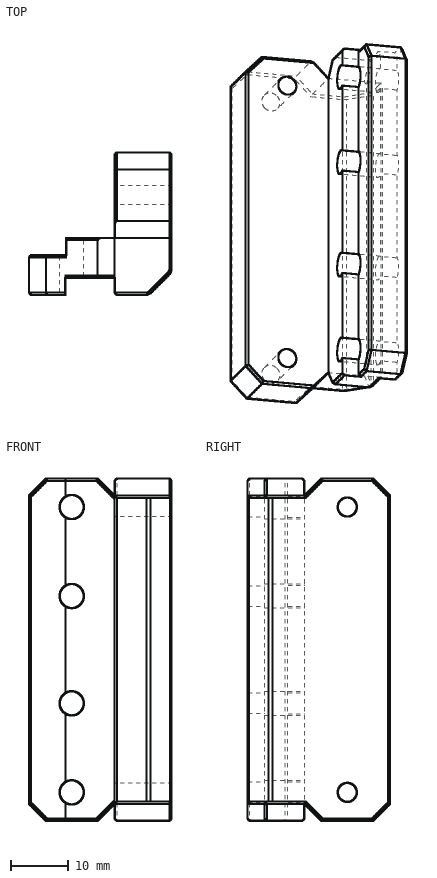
import cadquery as cq

HEIGHT = 60.0
WIDTH = 25.0
DEPTH = 25.0
CORNER_CUT = 3.0
EDGE_BREAK = 0.4

ARM_LENGTH = 15.0
LOWER_WALL_X = 6.4
UPPER_WALL_X = 6.5
FOOT_TOP_Y = 7.0
WEB_BOTTOM_Y = 3.0
ARM_TOP_Y = 10.0
ARM_HOLE_DIAMETER = 4.2
ARM_HOLE_SPANS = (50.0, 18.8)

BLOCK_CORNER_CUT = 4.0
PLATE_HOLE_DIAMETER = 3.3
PLATE_HOLE_SPAN = 50.0

HALF_HEIGHT = HEIGHT / 2
SHOULDER_Z = HALF_HEIGHT - CORNER_CUT
ARM_MIDDLE_Y = (WEB_BOTTOM_Y + FOOT_TOP_Y) / 2
ARM_HOLE_X = ARM_LENGTH / 2
PLATE_HOLE_Y = (ARM_TOP_Y + DEPTH) / 2
TOLERANCE = 0.01


def arm_slab(x_start, x_end, y_bottom, y_top):
    """Return the stretch of the cut-cornered arm between two X and two Y positions."""
    octagon = (
        cq.Workplane("XY")
        .box(ARM_LENGTH, y_top - y_bottom, HEIGHT, centered=(False, False, True))
        .edges("|Y")
        .chamfer(CORNER_CUT)
        .translate((0, y_bottom, 0))
    )
    stretch = (
        cq.Workplane("XY")
        .box(x_end - x_start, y_top - y_bottom, HEIGHT, centered=(False, False, True))
        .translate((x_start, y_bottom, 0))
    )
    return octagon.intersect(stretch)


def wall_strip(y_bottom, y_top):
    """Return the thin strip between the two wall positions, used to set each wall in its own place."""
    return (
        cq.Workplane("XY")
        .box(UPPER_WALL_X - LOWER_WALL_X, y_top - y_bottom, HEIGHT, centered=(False, False, True))
        .translate((LOWER_WALL_X, y_bottom, 0))
    )


def foot_slab():
    """Foot at the free end of the arm, broken along its outline on both broad faces."""
    foot = arm_slab(0, UPPER_WALL_X, 0, FOOT_TOP_Y)
    inner_end = cq.selectors.BoxSelector(
        (UPPER_WALL_X - TOLERANCE, -TOLERANCE, -HEIGHT),
        (UPPER_WALL_X + TOLERANCE, ARM_TOP_Y, HEIGHT),
    )
    outline = foot.faces("<Y or >Y").edges().edges(-inner_end)
    return outline.chamfer(EDGE_BREAK).cut(wall_strip(0, ARM_MIDDLE_Y))


def web_slab():
    """Web between foot and block; its -Y face is broken all along, its +Y face only at the ends."""
    web = arm_slab(LOWER_WALL_X, ARM_LENGTH, WEB_BOTTOM_Y, ARM_TOP_Y)
    web = web.faces("<Y").edges("not |Z").chamfer(EDGE_BREAK)
    web = web.faces(">Y").edges("<Z or >Z").chamfer(EDGE_BREAK)
    return web.cut(wall_strip(ARM_MIDDLE_Y, ARM_TOP_Y))


def block_with_plate():
    """Block in front and cut-cornered plate behind it, drawn as one outline in the YZ plane."""
    upper_half = [
        (0, SHOULDER_Z),
        (ARM_TOP_Y, SHOULDER_Z),
        (ARM_TOP_Y + CORNER_CUT, HALF_HEIGHT),
        (DEPTH - CORNER_CUT, HALF_HEIGHT),
        (DEPTH, SHOULDER_Z),
    ]
    lower_half = [(y, -z) for y, z in reversed(upper_half)]
    body = (
        cq.Workplane("YZ", origin=(ARM_LENGTH, 0, 0))
        .polyline(upper_half + lower_half)
        .close()
        .extrude(WIDTH - ARM_LENGTH)
    )
    body = body.edges(">X and <Y").chamfer(BLOCK_CORNER_CUT)

    clear_of_arm = cq.selectors.BoxSelector(
        (ARM_LENGTH - TOLERANCE, ARM_TOP_Y + CORNER_CUT, -HEIGHT),
        (ARM_LENGTH + TOLERANCE, DEPTH + TOLERANCE, HEIGHT),
    )
    corner_face = cq.selectors.DirectionMinMaxSelector(cq.Vector(1, -1, 0))
    edges = body.faces("<Y or >X").edges().add(body.faces(corner_face).edges("not |Z"))
    edges = edges.add(body.faces("<X").edges(clear_of_arm))
    return edges.chamfer(EDGE_BREAK)


def symmetric_positions(spans):
    """Return the Z positions of hole pairs placed evenly about Z = 0."""
    return [side * span / 2 for span in spans for side in (-1, 1)]


def arm_holes():
    """Holes through the arm along Y, breaking into both step walls."""
    points = [(ARM_HOLE_X, z) for z in symmetric_positions(ARM_HOLE_SPANS)]
    return (
        cq.Workplane("XZ")
        .pushPoints(points)
        .circle(ARM_HOLE_DIAMETER / 2)
        .extrude(-ARM_TOP_Y)
    )


def plate_holes():
    """Holes through the plate along X."""
    points = [(PLATE_HOLE_Y, z) for z in symmetric_positions([PLATE_HOLE_SPAN])]
    return (
        cq.Workplane("YZ", origin=(ARM_LENGTH, 0, 0))
        .pushPoints(points)
        .circle(PLATE_HOLE_DIAMETER / 2)
        .extrude(WIDTH - ARM_LENGTH)
    )


arm = foot_slab().union(web_slab())
body = block_with_plate().union(arm)
result = body.cut(arm_holes()).cut(plate_holes())